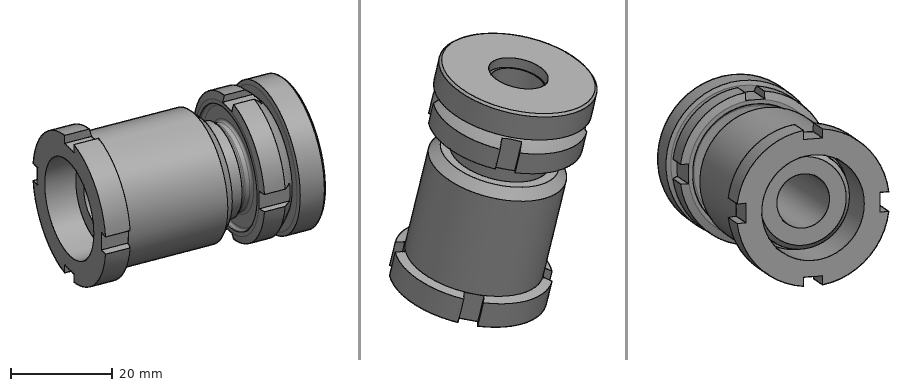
import cadquery as cq
import math

bore_radius = 5.5
thread_radius = 10.0
bevel_angle = 15
relief_angle = 45

notch_width = 4.0
notch_floor_radius = 14.0
notch_count = 4
notch_overcut = 0.5

flange_radius = 15.95
flange_rim_height = 5.45
sleeve_radius = notch_floor_radius
sleeve_height = 30.0
sleeve_chamfer = 2.0
counterbore_radius = 10.7
counterbore_depth = 9.85

spindle_start = 6.0
thread_end = 33.15
end_chamfer = 1.05
neck_radius = 9.15
fillet_radius = 0.6
head_radius = 15.65
head_face = 34.95
head_rim_end = 39.95
recess_radius = 13.1
recess_depth = 1.0
ball_radius = 19.65

cap_radius = flange_radius
cap_start = 42.9
cap_thickness = 6.05
cap_bore_radius = 6.0
cap_top_chamfer = 0.5
cap_bevel_width = 0.95
tilt_toward_x = 0.6
tilt_toward_z = 0.4

bevel_slope = math.tan(math.radians(bevel_angle))
flange_height = flange_rim_height + (flange_radius - sleeve_radius) * bevel_slope
head_rim_start = head_face + (head_radius - notch_floor_radius) * bevel_slope
ball_center = head_rim_end - math.sqrt(ball_radius**2 - head_radius**2)


def ball_height(radius):
    """Height of the ball surface at a distance from the axis."""
    return ball_center + math.sqrt(ball_radius**2 - radius**2)


def turn(outline):
    """Revolve a closed outline of (radius, height) about the Y axis."""
    return outline.close().revolve(360, (0, 0, 0), (0, 1, 0))


def cut_notches(body, start, length):
    """Cut wrench notches, open at the rim, starting at the given height."""
    notch_reach = flange_radius - notch_floor_radius + notch_overcut
    notch = (
        cq.Workplane("XY")
        .box(notch_reach, length, notch_width, centered=(False, False, True))
        .translate((notch_floor_radius, start, 0))
    )
    for i in range(notch_count):
        turned_notch = notch.rotate((0, 0, 0), (0, 1, 0), i * 360 / notch_count)
        body = body.cut(turned_notch)
    return body


def make_sleeve():
    """Flanged sleeve with a threaded hole and a counterbore in the flange."""
    outline = (
        cq.Workplane("XY")
        .moveTo(counterbore_radius, 0)
        .lineTo(flange_radius, 0)
        .lineTo(flange_radius, flange_rim_height)
        .lineTo(sleeve_radius, flange_height)
        .lineTo(sleeve_radius, sleeve_height - sleeve_chamfer)
        .lineTo(sleeve_radius - sleeve_chamfer, sleeve_height)
        .lineTo(thread_radius, sleeve_height)
        .lineTo(thread_radius, counterbore_depth)
        .lineTo(counterbore_radius, counterbore_depth)
    )
    return cut_notches(turn(outline), 0, flange_height)


def make_spindle():
    """Hollow spindle with a notched head that ends in a ball surface."""
    recess_floor = head_face + recess_depth
    relief_turn = math.radians(relief_angle)
    relief_corner = thread_end + (thread_radius - neck_radius) / math.tan(relief_turn)
    bend_length = fillet_radius * math.tan(relief_turn / 2)
    bend_start = (
        neck_radius + bend_length * math.sin(relief_turn),
        relief_corner - bend_length * math.cos(relief_turn),
    )
    middle_radius = (bore_radius + head_radius) / 2
    outline = (
        cq.Workplane("XY")
        .moveTo(bore_radius, spindle_start)
        .lineTo(thread_radius - end_chamfer, spindle_start)
        .lineTo(thread_radius, spindle_start + end_chamfer)
        .lineTo(thread_radius, thread_end)
        .lineTo(*bend_start)
        .tangentArcPoint((neck_radius, relief_corner + bend_length), relative=False)
        .lineTo(neck_radius, recess_floor - fillet_radius)
        .tangentArcPoint((neck_radius + fillet_radius, recess_floor), relative=False)
        .lineTo(recess_radius - fillet_radius, recess_floor)
        .tangentArcPoint((recess_radius, recess_floor - fillet_radius), relative=False)
        .lineTo(recess_radius, head_face)
        .lineTo(notch_floor_radius, head_face)
        .lineTo(head_radius, head_rim_start)
        .lineTo(head_radius, head_rim_end)
        .threePointArc(
            (middle_radius, ball_height(middle_radius)),
            (bore_radius, ball_height(bore_radius)),
        )
    )
    return cut_notches(turn(outline), head_face, ball_height(0) - head_face)


def make_cap():
    """Ring with a hollow seat for the ball, tilted about the ball centre."""
    cap_end = cap_start + cap_thickness
    seat_radius = math.sqrt(ball_radius**2 - (cap_start - ball_center) ** 2)
    middle_radius = (cap_bore_radius + seat_radius) / 2
    outline = (
        cq.Workplane("XY")
        .moveTo(seat_radius, cap_start)
        .lineTo(cap_radius - cap_bevel_width, cap_start)
        .lineTo(cap_radius, cap_start + cap_bevel_width * bevel_slope)
        .lineTo(cap_radius, cap_end - cap_top_chamfer)
        .lineTo(cap_radius - cap_top_chamfer, cap_end)
        .lineTo(cap_bore_radius, cap_end)
        .lineTo(cap_bore_radius, ball_height(cap_bore_radius))
        .threePointArc(
            (middle_radius, ball_height(middle_radius)), (seat_radius, cap_start)
        )
    )
    pivot = cq.Vector(0, ball_center, 0)
    level_cap = turn(outline)
    tilted_cap = level_cap.rotate(pivot, pivot + cq.Vector(0, 0, 0.5), -tilt_toward_x)
    return tilted_cap.rotate(pivot, pivot + cq.Vector(0.5, 0, 0), tilt_toward_z)


sleeve = make_sleeve()
spindle = make_spindle()
cap = make_cap()
result = cq.Compound.makeCompound([sleeve.val(), spindle.val(), cap.val()])